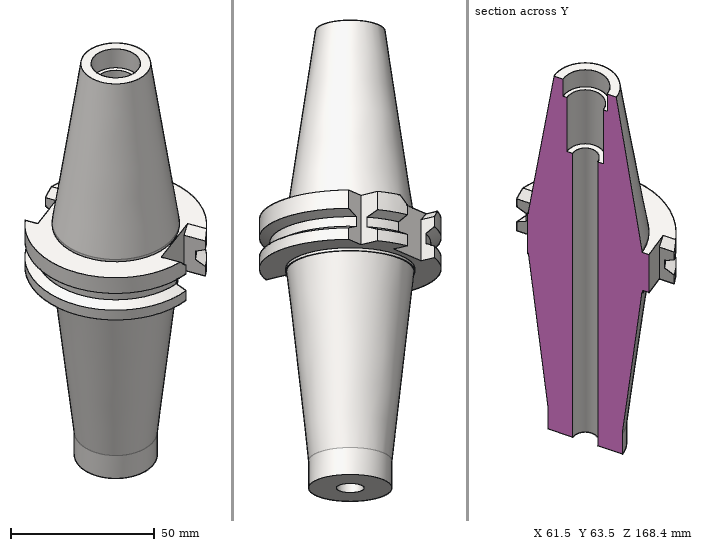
import cadquery as cq

total_height = 168.4
taper_length = 68.4
collar_height = 1.0
flange_thickness = 18.2
nose_length = 10.0

taper_top_radius = 12.21
gauge_radius = 22.2
flange_radius = 31.75
lower_collar_radius = 22.5
nose_radius = 14.57

groove_radius = 28.1
groove_floor_height = 3.5
groove_slope_height = 1.9
groove_below_flange_top = 6.7

slot_half_width = 7.9
slot_chamfer = 3.0
left_slot_wall = 25.0
right_slot_wall = 22.5

notch_wall_x = 18.5
notch_wall_y = 18.5

through_radius = 4.9
thread_radius = 7.0
entry_radius = 8.6
entry_depth = 8.0
thread_depth = 33.7

gauge_z = total_height - taper_length
flange_top = gauge_z - collar_height
flange_bottom = flange_top - flange_thickness
cone_top = flange_bottom - collar_height
groove_top = flange_top - groove_below_flange_top
groove_floor_top = groove_top - groove_slope_height
groove_floor_bottom = groove_floor_top - groove_floor_height
groove_bottom = groove_floor_bottom - groove_slope_height


def revolve_profile(points):
    """Revolve a closed (radius, height) outline around Z."""
    return cq.Workplane("XZ").polyline(points).close().revolve(360, (0, 0), (0, 1))


def make_body():
    return revolve_profile([
        (0, 0),
        (nose_radius, 0),
        (nose_radius, nose_length),
        (gauge_radius, cone_top),
        (lower_collar_radius, cone_top),
        (lower_collar_radius, flange_bottom),
        (flange_radius, flange_bottom),
        (flange_radius, groove_bottom),
        (groove_radius, groove_floor_bottom),
        (groove_radius, groove_floor_top),
        (flange_radius, groove_top),
        (flange_radius, flange_top),
        (gauge_radius, flange_top),
        (gauge_radius, gauge_z),
        (taper_top_radius, total_height),
        (0, total_height),
    ])


def make_bore():
    """Through hole, widened at the taper end by a thread bore and an entry bore."""
    entry_floor = total_height - entry_depth
    return revolve_profile([
        (0, 0),
        (through_radius, 0),
        (through_radius, total_height - thread_depth),
        (thread_radius, total_height - thread_depth),
        (thread_radius, entry_floor),
        (entry_radius, entry_floor),
        (entry_radius, total_height),
        (0, total_height),
    ])


def make_drive_slot(wall_distance, side):
    """Slot with chamfered upper edges; side is -1 for -X and +1 for +X."""
    mouth_half_width = slot_half_width + slot_chamfer
    chamfer_bottom = flange_top - slot_chamfer
    return (
        cq.Workplane("YZ", origin=(side * wall_distance, 0, 0))
        .polyline([
            (-slot_half_width, flange_bottom),
            (slot_half_width, flange_bottom),
            (slot_half_width, chamfer_bottom),
            (mouth_half_width, flange_top),
            (-mouth_half_width, flange_top),
            (-slot_half_width, chamfer_bottom),
        ])
        .close()
        .extrude(side * flange_radius)
    )


def make_notch():
    return (
        cq.Workplane("XY", origin=(-notch_wall_x, notch_wall_y, flange_bottom))
        .box(flange_radius, flange_radius, flange_thickness, centered=False)
        .translate((-flange_radius, 0, 0))
    )


result = (
    make_body()
    .cut(make_bore())
    .cut(make_drive_slot(left_slot_wall, -1))
    .cut(make_drive_slot(right_slot_wall, 1))
    .cut(make_notch())
)